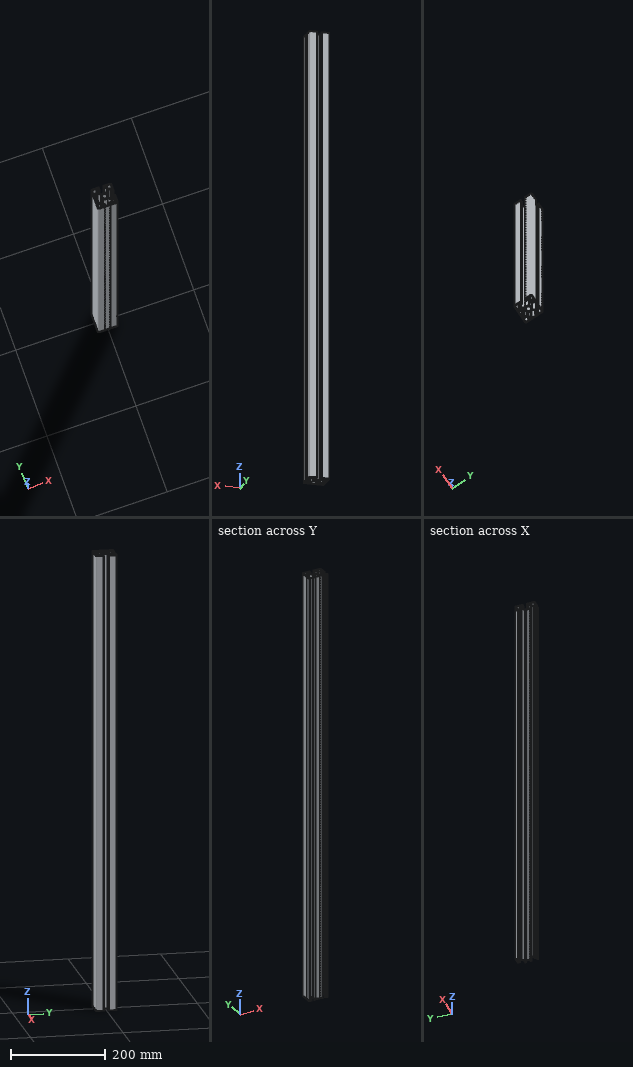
import cadquery as cq
import math

SIDE = 45.0
LENGTH = 1000.0
CORNER_RADIUS = 3.0

SKIN_THICKNESS = 1.9
SLOT_OPENING = 10.0
SLOT_CAVITY_WIDTH = 21.2
LIP_THICKNESS = 6.2

CORE_DIAMETER = 15.0
BORE_DIAMETER = 10.0
WEB_THICKNESS = 1.5

HOLLOW_WALL = 1.9
HOLLOW_RADIUS = 2.4
ARM_WIDTH = 2.2
ARM_END_WALL = 1.4

HALF_SIDE = SIDE / 2
LIP_INNER = HALF_SIDE - LIP_THICKNESS
WALL_INNER = HALF_SIDE - SKIN_THICKNESS
HOLLOW_INNER = SLOT_CAVITY_WIDTH / 2 + HOLLOW_WALL
ARM_INNER = WALL_INNER - ARM_WIDTH
ARM_END = SLOT_OPENING / 2 + ARM_END_WALL

CORNER_ANGLES = (45, 135, 225, 315)
OPEN_SLOT_ANGLES = (0, 90)
CLOSED_SLOT_ANGLES = (180, 270)


def cylinder(diameter):
    """Full-length round bar on the part's axis."""
    return cq.Workplane("XY").circle(diameter / 2).extrude(LENGTH)


def prism(width_x, width_y, center_x=0.0, center_y=0.0):
    """Full-length rectangular bar."""
    return cq.Workplane("XY").center(center_x, center_y).rect(width_x, width_y).extrude(LENGTH)


def bar_along_x(start, end, width):
    """Full-length bar reaching from x = start to x = end, centred on y = 0."""
    return prism(end - start, width, (start + end) / 2)


def turned(body, angle):
    """The body turned about the part's long axis."""
    return body.rotate((0, 0, 0), (0, 0, 1), angle)


def outer_block():
    return prism(SIDE, SIDE).edges("|Z").fillet(CORNER_RADIUS)


def inner_space():
    """Cross-shaped space made of the four slot cavities, before the core is put back."""
    return prism(2 * LIP_INNER, SLOT_CAVITY_WIDTH).union(prism(SLOT_CAVITY_WIDTH, 2 * LIP_INNER))


def core_with_webs():
    """Round core tied to the four corners by diagonal webs."""
    core = cylinder(CORE_DIAMETER)
    web_reach = HOLLOW_INNER * math.sqrt(2)
    for angle in CORNER_ANGLES:
        core = core.union(turned(bar_along_x(0, web_reach, WEB_THICKNESS), angle))
    return core


def slot_openings():
    """The four mouths: the open ones break through the side, the closed ones stop at the skin."""
    open_mouth = bar_along_x(LIP_INNER, HALF_SIDE, SLOT_OPENING)
    closed_mouth = bar_along_x(LIP_INNER, WALL_INNER, SLOT_OPENING)
    mouths = [turned(open_mouth, angle) for angle in OPEN_SLOT_ANGLES]
    mouths += [turned(closed_mouth, angle) for angle in CLOSED_SLOT_ANGLES]
    return mouths


def corner_hollows():
    """Corner chambers, each with two thin arms reaching into the neighbouring slot lips."""
    outline = [
        (WALL_INNER, WALL_INNER),
        (ARM_END, WALL_INNER),
        (ARM_END, ARM_INNER),
        (HOLLOW_INNER, ARM_INNER),
        (HOLLOW_INNER, HOLLOW_INNER),
        (ARM_INNER, HOLLOW_INNER),
        (ARM_INNER, ARM_END),
        (WALL_INNER, ARM_END),
    ]
    hollow = cq.Workplane("XY").polyline(outline).close().extrude(LENGTH)
    hollow = hollow.edges("|Z and >(1, 1, 0)").fillet(HOLLOW_RADIUS)
    return [turned(hollow, angle - CORNER_ANGLES[0]) for angle in CORNER_ANGLES]


result = outer_block().cut(inner_space()).union(core_with_webs())
for cutter in slot_openings() + corner_hollows() + [cylinder(BORE_DIAMETER)]:
    result = result.cut(cutter)